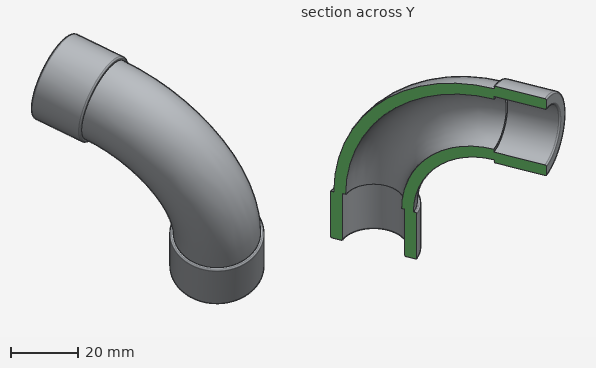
import cadquery as cq

overall_length = 70.0
collar_diameter = 28.0
collar_length = 17.0
pipe_diameter = 26.0
pipe_bore_diameter = 18.0
socket_diameter = 20.0
socket_depth = collar_length
edge_round = 0.5

bend_radius = overall_length - collar_diameter / 2 - collar_length
half_span = overall_length / 2
inlet_center = (-half_span, 0, half_span - collar_diameter / 2)
outlet_center = (half_span - collar_diameter / 2, 0, -half_span)
bend_start = (inlet_center[0] + collar_length, 0, inlet_center[2])


def section_plane(center, inward):
    """Plane across the passage, with its normal pointing into the elbow."""
    return cq.Plane(origin=center, xDir=(0, 1, 0), normal=inward)


def quarter_bend(diameter):
    """Solid quarter torus running from the inlet collar to the outlet collar."""
    plane = section_plane(bend_start, (1, 0, 0))
    return (
        cq.Workplane(plane)
        .circle(diameter / 2)
        .revolve(90, (0, -bend_radius, 0), (1, -bend_radius, 0))
    )


def collar(plane):
    """Solid collar with rounded outer rims."""
    blank = cq.Workplane(plane).circle(collar_diameter / 2).extrude(collar_length)
    return blank.edges().fillet(edge_round)


def socket(plane):
    """Socket cavity whose mouth flares out along a rounded lip."""
    bore_radius = socket_diameter / 2
    lip_radius = bore_radius + edge_round
    round_mid = edge_round * (1 - 0.5 ** 0.5)
    side = plane.xDir.cross(plane.zDir)
    profile_plane = cq.Plane(origin=plane.origin, xDir=plane.xDir, normal=side)
    profile = (
        cq.Workplane(profile_plane)
        .lineTo(0, socket_depth)
        .lineTo(bore_radius, socket_depth)
        .lineTo(bore_radius, edge_round)
        .threePointArc((bore_radius + round_mid, round_mid), (lip_radius, 0))
        .close()
    )
    return profile.revolve(360, (0, 0, 0), (0, 1, 0))


mouths = [section_plane(inlet_center, (1, 0, 0)), section_plane(outlet_center, (0, 0, 1))]

body = quarter_bend(pipe_diameter)
for mouth in mouths:
    body = body.union(collar(mouth))

result = body.cut(quarter_bend(pipe_bore_diameter))
for mouth in mouths:
    result = result.cut(socket(mouth))